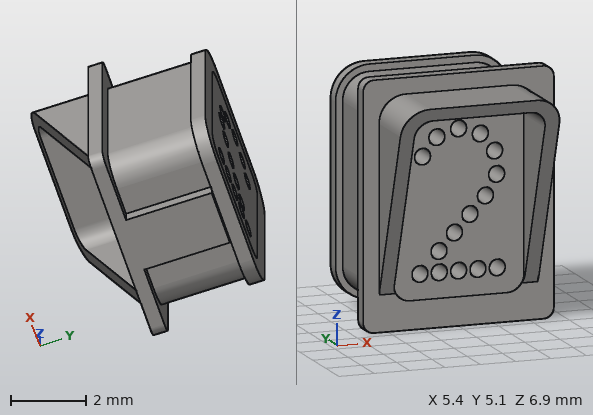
import cadquery as cq
import math

flange_thickness = 0.4
barrel_length = 2.4
lip_thickness = 0.4
hood_reach = 1.9
flange_rear = flange_thickness
lip_front = flange_rear + barrel_length
rear_face = lip_front + lip_thickness

flange_width = 5.4
flange_height = 6.9
flange_corner = 0.3

barrel_width = 4.5
barrel_height = 6.0
barrel_corner = 0.75

lip_overhang = 0.2
lip_width = barrel_width + 2 * lip_overhang
lip_height = barrel_height + 2 * lip_overhang
lip_corner = barrel_corner + lip_overhang

bore_width = 3.7
bore_height = 5.3
bore_corner = 0.48

hood_foot_z = -2.42

foot_width = 1.5
foot_bottom = -flange_height / 2

dot_diameter = 0.45
bow_radius = 1.1
bow_center_z = 0.84
bow_first_angle = -12
bow_angle_step = 34
bow_dots = 6
stroke_start = (-0.555, -1.36)
stroke_step = (0.438, 0.47)
stroke_dots = 4
base_z = -1.94
base_pitch = 0.547
base_dots = 5


def rounded_block(width, height, corner, front, rear):
    """Block centred on the Y axis with its four long edges rounded."""
    block = cq.Workplane("XY").box(width, rear - front, height).edges("|Y").fillet(corner)
    return block.translate((0, (front + rear) / 2, 0))


def make_hood():
    """Barrel outline carried forward and cut by the slope, which leaves it open at the bottom."""
    hood = rounded_block(barrel_width, barrel_height, barrel_corner, -hood_reach, 0)
    top = barrel_height / 2
    wedge = (
        cq.Workplane("YZ")
        .polyline([(0, hood_foot_z), (0, top), (-hood_reach, top)])
        .close()
        .extrude(barrel_width / 2, both=True)
    )
    return hood.intersect(wedge)


def make_foot():
    """Block between flange and lip that reaches down level with the flange."""
    foot_height = -foot_bottom
    foot = cq.Workplane("XY").box(foot_width, barrel_length, foot_height, centered=(True, False, False))
    return foot.translate((0, flange_rear, foot_bottom))


def make_housing():
    """Barrel with its flange, rear lip, foot and hood, bored through."""
    flange = rounded_block(flange_width, flange_height, flange_corner, 0, flange_rear)
    barrel = rounded_block(barrel_width, barrel_height, barrel_corner, 0, rear_face)
    lip = rounded_block(lip_width, lip_height, lip_corner, lip_front, rear_face)
    bore = rounded_block(bore_width, bore_height, bore_corner, -hood_reach, rear_face)
    solid = flange.union(barrel).union(lip).union(make_foot()).union(make_hood())
    return solid.cut(bore)


def dot_centers():
    """(X, Z) of every dot: the bow, the slanting stroke and the base line."""
    centers = []
    for i in range(bow_dots):
        angle = math.radians(bow_first_angle + i * bow_angle_step)
        centers.append((bow_radius * math.cos(angle), bow_center_z + bow_radius * math.sin(angle)))
    for i in range(stroke_dots):
        centers.append((stroke_start[0] + i * stroke_step[0], stroke_start[1] + i * stroke_step[1]))
    for i in range(base_dots):
        centers.append(((i - (base_dots - 1) / 2) * base_pitch, base_z))
    return centers


def make_dot_plate():
    """Plug that fills the bore, flush with the flange, pierced by the dots."""
    plate = rounded_block(bore_width, bore_height, bore_corner, 0, rear_face)
    dots = cq.Workplane("XZ").pushPoints(dot_centers()).circle(dot_diameter / 2).extrude(-rear_face)
    return plate.cut(dots)


housing = make_housing()
dot_plate = make_dot_plate()
result = cq.Compound.makeCompound([housing.val(), dot_plate.val()])